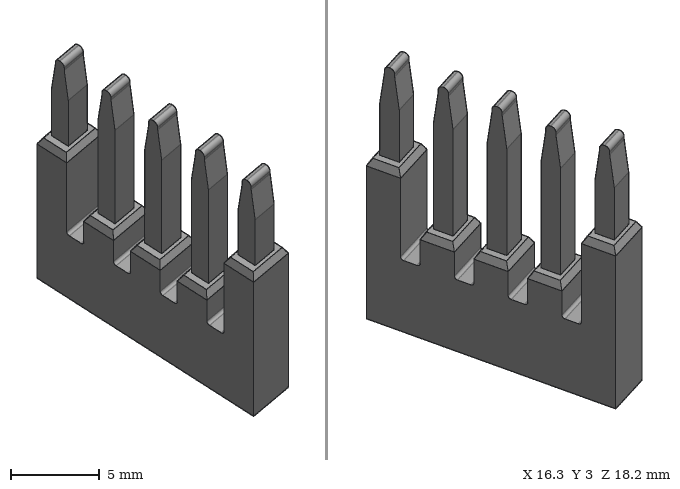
import cadquery as cq

total_width = 16.25
total_depth = 3.0
total_height = 18.2

pin_count = 5
post_width = 2.24
pitch = (total_width - post_width) / (pin_count - 1)
slot_floor = 5.2
outer_post_top = 11.6
inner_post_top = 7.65
slot_corner_radius = 0.2

band_height = 0.5
band_inset = 0.25

pin_width = 1.27
pin_depth = 1.64
taper_length = 2.82
tip_width = 0.67
tip_height = 0.53
tip_radius = 0.33


def block(width, depth, bottom, top):
    """Upright block centred on the Z axis."""
    return cq.Workplane("XY").workplane(offset=bottom).rect(width, depth).extrude(top - bottom)


def post(top):
    """Post from the base to the given height, with a sloped band around its top."""
    band_bottom = top - band_height
    band = (
        cq.Workplane("XY")
        .workplane(offset=band_bottom)
        .rect(post_width, total_depth)
        .workplane(offset=band_height)
        .rect(post_width - 2 * band_inset, total_depth - 2 * band_inset)
        .loft(ruled=True)
    )
    return block(post_width, total_depth, 0, band_bottom).union(band)


def pin(bottom):
    """Blade from the given height up to the rounded tip."""
    half_width = pin_width / 2
    half_tip = tip_width / 2
    taper_bottom = total_height - taper_length
    tip_bottom = total_height - tip_height
    outline = [
        (-half_width, bottom),
        (-half_width, taper_bottom),
        (-half_tip, tip_bottom),
        (-half_tip, total_height),
        (half_tip, total_height),
        (half_tip, tip_bottom),
        (half_width, taper_bottom),
        (half_width, bottom),
    ]
    blade = cq.Workplane("XZ").polyline(outline).close().extrude(pin_depth / 2, both=True)
    return blade.faces(">Z").edges("|Y").fillet(tip_radius)


body = block(total_width, total_depth, 0, slot_floor)
stations = []
for index in range(pin_count):
    x = (index - (pin_count - 1) / 2) * pitch
    is_outer = index in (0, pin_count - 1)
    post_top = outer_post_top if is_outer else inner_post_top
    stations.append((x, post_top))
    body = body.union(post(post_top).translate((x, 0, 0)))
body = body.clean()

floor_corners = cq.selectors.BoxSelector(
    (-total_width, -total_depth, slot_floor - slot_corner_radius),
    (total_width, total_depth, slot_floor + slot_corner_radius),
)
body = body.edges("|Y").edges(floor_corners).fillet(slot_corner_radius)

for x, post_top in stations:
    body = body.union(pin(post_top).translate((x, 0, 0)))

result = body